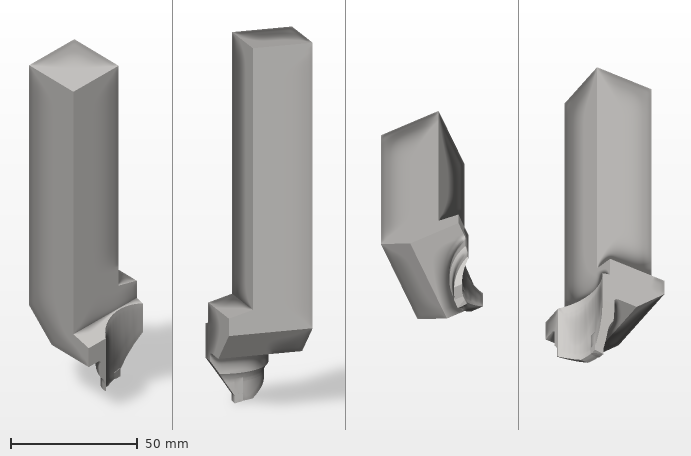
import cadquery as cq
import math

total_height = 151.4
foot_x = 33.6
foot_y = 35.0
shank_side = 25.0
foot_bottom = 21.6
corner_bevel = 12.7
side_shoulder = 33.1
back_shoulder = 44.2
shoulder_slope = math.tan(math.radians(15))

blade_axis_x = 39.0
blade_axis_y = shank_side
neck_radius = 18.9
blade_radius = 17.1
root_fillet = 1.8
neck_bottom = 12.9
blade_top = 8.8
blade_bottom = 0.8

clearance_radius = 19.0
blade_inner_x = 25.6
clearance_axis_x = blade_inner_x + clearance_radius

heel_bottom_y = 16.6
heel_slope = 0.625
nose_start = 18.2
nose_end = 3.2

insert_back_y = 21.5
insert_face_y = 25.0
insert_top = 10.5
plate_x = 22.1
head_x = blade_axis_x - blade_radius
head_inner_x = 25.9
head_back_top = 3.6
head_face_top = 4.4
edge_relief = 0.5


def box_between(low, high):
    """Axis-aligned box between two opposite corners."""
    sizes = [b - a for a, b in zip(low, high)]
    return cq.Workplane("XY").box(*sizes, centered=False).translate(low)


def side_prism(points, start_x, end_x):
    """Extrude a (Y, Z) outline along X."""
    return cq.Workplane("YZ", origin=(start_x, 0, 0)).polyline(points).close().extrude(end_x - start_x)


def make_shank_and_foot():
    """Square shank on a bevelled foot with shoulders toward +X and +Y."""
    back_edge = back_shoulder - (foot_y - shank_side) * shoulder_slope
    side_edge = side_shoulder - (foot_x - shank_side) * shoulder_slope
    front_outline = [
        (0, foot_bottom + corner_bevel),
        (corner_bevel, foot_bottom),
        (foot_x, foot_bottom),
        (foot_x, side_edge),
        (shank_side, side_shoulder),
        (shank_side, total_height),
        (0, total_height),
    ]
    body = cq.Workplane("XZ").polyline(front_outline).close().extrude(-foot_y)
    behind_shank = side_prism(
        [
            (shank_side, back_shoulder),
            (foot_y, back_edge),
            (foot_y, total_height),
            (shank_side, total_height),
        ],
        0,
        shank_side,
    )
    return body.cut(behind_shank)


def make_blade():
    """Stepped round with a root fillet and a concave step, trimmed to the foot and the end slopes."""
    step = neck_radius - blade_radius
    rise = neck_bottom - blade_top
    step_radius = (step**2 + rise**2) / (2 * step)
    half_angle = math.asin(rise / step_radius) / 2
    step_middle = (
        blade_radius + step_radius * (1 - math.cos(half_angle)),
        blade_top + step_radius * math.sin(half_angle),
    )
    fillet_inset = root_fillet * (1 - math.sqrt(0.5))
    round_body = (
        cq.Workplane("XZ")
        .lineTo(blade_radius, 0)
        .lineTo(blade_radius, blade_top)
        .threePointArc(step_middle, (neck_radius, neck_bottom))
        .lineTo(neck_radius, foot_bottom - root_fillet)
        .threePointArc(
            (neck_radius + fillet_inset, foot_bottom - fillet_inset),
            (neck_radius + root_fillet, foot_bottom),
        )
        .lineTo(0, foot_bottom)
        .close()
        .revolve(360, (0, 0, 0), (0, 1, 0))
        .translate((blade_axis_x, blade_axis_y, 0))
    )
    heel_top_y = heel_bottom_y - (foot_bottom - blade_bottom) / heel_slope
    nose_bottom_y = insert_face_y - (nose_end - blade_bottom) * (foot_y - insert_face_y) / (nose_start - nose_end)
    side_limits = side_prism(
        [
            (heel_bottom_y, blade_bottom),
            (nose_bottom_y, blade_bottom),
            (foot_y, nose_start),
            (foot_y, foot_bottom),
            (heel_top_y, foot_bottom),
        ],
        0,
        foot_x,
    )
    return round_body.intersect(side_limits)


def make_holder():
    clearance = (
        cq.Workplane("XY")
        .center(clearance_axis_x, blade_axis_y)
        .circle(clearance_radius)
        .extrude(total_height)
    )
    insert_pocket = box_between((0, insert_back_y, 0), (foot_x, insert_face_y, insert_top))
    return make_shank_and_foot().union(make_blade()).cut(clearance).cut(insert_pocket)


def make_insert():
    """Upright plate filling the pocket, with a slightly wider cutting head at its foot."""
    plate = box_between((plate_x, insert_back_y, head_back_top), (blade_inner_x, insert_face_y, insert_top))
    head = side_prism(
        [
            (insert_back_y, blade_bottom),
            (insert_face_y, 0),
            (insert_face_y, head_face_top),
            (insert_back_y, head_back_top),
        ],
        head_x,
        head_inner_x,
    )
    below_edge = (
        cq.Workplane("XZ")
        .polyline([(head_x, 0), (head_inner_x, 0), (head_inner_x, edge_relief)])
        .close()
        .extrude(-foot_y)
    )
    return plate.union(head.cut(below_edge))


holder = make_holder()
insert = make_insert()

result = cq.Compound.makeCompound([holder.solids().val(), insert.solids().val()])